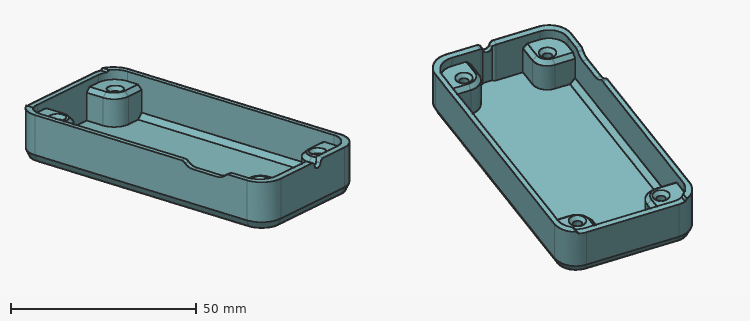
import cadquery as cq
import math

LENGTH = 86.0
WIDTH = 40.8
HEIGHT = 13.85
CORNER_RADIUS = 6.5
BASE_CHAMFER_INSET = 1.0
BASE_CHAMFER_HEIGHT = 2.15

SIDE_WALL = 1.55
LEFT_WALL = 1.8
RIGHT_WALL = 2.1
FLOOR = 1.55
CAVITY_RADIUS = 5.6
FLOOR_CHAMFER = 1.55

CAVITY_LEFT = -LENGTH / 2 + LEFT_WALL
CAVITY_RIGHT = LENGTH / 2 - RIGHT_WALL
CAVITY_HALF_WIDTH = WIDTH / 2 - SIDE_WALL

POST_DROP = 2.8
POST_TOP = HEIGHT - POST_DROP
POST_CHAMFER = 1.3
POSTS = [
    (-1, 1, 30.7, 8.2, 4.9),
    (-1, -1, 30.2, 8.2, 5.0),
    (1, 1, 30.7, 7.6, 5.0),
    (1, -1, 30.7, 8.2, 4.5),
]

HOLE_DIAMETER = 2.6
COUNTERSINK_DIAMETER = 4.7
COUNTERSINK_SLOPE = 45
COUNTERSINK_DEPTH = (COUNTERSINK_DIAMETER - HOLE_DIAMETER) / 2
HOLE_SPACING_X = 69.7
HOLE_SPACING_Y = 25.1

RIM_DROP = 0.6
RIM_DROP_HALF_WIDTH = 16.0
RIM_DROP_REACH = LEFT_WALL + CAVITY_RADIUS

CABLE_Y = 2.2
CABLE_RADIUS = 1.3
CABLE_DEPTH = 2.15
GROOVE_DEPTH = 0.5
GROOVE_HALF_WIDTH = 1.5
GROOVE_LIP_RADIUS = 0.9

SCOOP_X = 22.2
SCOOP_DEPTH = 1.6
SCOOP_FLAT_HALF = 4.0
SCOOP_INNER_RADIUS = 4.3
SCOOP_RIM_RADIUS = 2.0


def make_body():
    """Rounded block whose bottom edge tapers inward."""
    return (
        cq.Workplane("XY")
        .box(LENGTH, WIDTH, HEIGHT, centered=(True, True, False))
        .edges("|Z")
        .fillet(CORNER_RADIUS)
        .faces("<Z")
        .chamfer(BASE_CHAMFER_HEIGHT, BASE_CHAMFER_INSET)
    )


def make_cavity():
    """Open pocket with sloped strips where the long walls meet the floor."""
    pocket_length = CAVITY_RIGHT - CAVITY_LEFT
    pocket = (
        cq.Workplane("XY", origin=((CAVITY_LEFT + CAVITY_RIGHT) / 2, 0, FLOOR))
        .box(pocket_length, 2 * CAVITY_HALF_WIDTH, HEIGHT - FLOOR, centered=(True, True, False))
        .edges("|Z")
        .fillet(CAVITY_RADIUS)
    )
    for side in (-1, 1):
        wall_y = side * CAVITY_HALF_WIDTH
        strip = (
            cq.Workplane("YZ", origin=(CAVITY_LEFT, 0, 0))
            .moveTo(wall_y, FLOOR)
            .lineTo(wall_y - side * FLOOR_CHAMFER, FLOOR)
            .lineTo(wall_y, FLOOR + FLOOR_CHAMFER)
            .close()
            .extrude(pocket_length)
        )
        pocket = pocket.cut(strip)
    return pocket


def make_post(side_x, side_y, face_x, face_y, edge_radius):
    """Corner post reaching out to the body's sides, with a rounded inner edge and a chamfered top."""
    size_x = LENGTH / 2 - face_x
    size_y = WIDTH / 2 - face_y
    center = (side_x * (face_x + size_x / 2), side_y * (face_y + size_y / 2), 0)
    inner_x = ">X" if side_x < 0 else "<X"
    inner_y = ">Y" if side_y < 0 else "<Y"
    return (
        cq.Workplane("XY", origin=center)
        .box(size_x, size_y, POST_TOP, centered=(True, True, False))
        .edges("|Z")
        .edges(inner_x)
        .edges(inner_y)
        .fillet(edge_radius)
        .faces(">Z")
        .chamfer(POST_CHAMFER)
    )


def make_rim_drop():
    """Cutter that lowers the rim of the -X end, with 45 degree ends."""
    top_half = RIM_DROP_HALF_WIDTH + RIM_DROP
    return (
        cq.Workplane("YZ", origin=(-LENGTH / 2, 0, 0))
        .moveTo(-RIM_DROP_HALF_WIDTH, HEIGHT - RIM_DROP)
        .lineTo(RIM_DROP_HALF_WIDTH, HEIGHT - RIM_DROP)
        .lineTo(top_half, HEIGHT)
        .lineTo(-top_half, HEIGHT)
        .close()
        .extrude(RIM_DROP_REACH)
    )


def notch_profile(plane, flat_half, inner_radius, rim_radius, depth):
    """Notch in the rim: each end is a concave arc running smoothly into a convex one."""
    turn = math.acos(1 - depth / (inner_radius + rim_radius))

    def on_inner(angle):
        return flat_half + inner_radius * math.sin(angle), inner_radius * (1 - math.cos(angle)) - depth

    def on_rim(angle):
        reach = flat_half + (inner_radius + rim_radius) * math.sin(turn)
        return reach - rim_radius * math.sin(angle), rim_radius * (math.cos(angle) - 1)

    def mirrored(point):
        return -point[0], point[1]

    rim_end, rim_middle = on_rim(0), on_rim(turn / 2)
    bend, inner_middle, bottom = on_inner(turn), on_inner(turn / 2), on_inner(0)
    outline = (
        plane.moveTo(*rim_end)
        .threePointArc(rim_middle, bend)
        .threePointArc(inner_middle, bottom)
    )
    if flat_half > 0:
        outline = outline.lineTo(*mirrored(bottom))
    return (
        outline.threePointArc(mirrored(inner_middle), mirrored(bend))
        .threePointArc(mirrored(rim_middle), mirrored(rim_end))
        .close()
    )


def make_cable_notch():
    """Round-bottomed notch through the +X wall with rounded-over lips."""
    plane = cq.Workplane("YZ", origin=(CAVITY_RIGHT, CABLE_Y, HEIGHT))
    return notch_profile(plane, 0, CABLE_RADIUS, CABLE_RADIUS, CABLE_DEPTH).extrude(RIGHT_WALL)


def make_cable_groove():
    """Upright groove in the inner face of the +X wall, with rounded-over lips."""

    def lip(angle):
        return (
            GROOVE_LIP_RADIUS * (1 - math.cos(angle)),
            mouth_half - GROOVE_LIP_RADIUS * math.sin(angle),
        )

    turn = math.acos(1 - GROOVE_DEPTH / GROOVE_LIP_RADIUS)
    mouth_half = GROOVE_HALF_WIDTH + GROOVE_LIP_RADIUS * math.sin(turn)
    middle_x, middle_y = lip(turn / 2)
    return (
        cq.Workplane("XY", origin=(CAVITY_RIGHT, CABLE_Y, FLOOR))
        .moveTo(0, -mouth_half)
        .threePointArc((middle_x, -middle_y), (GROOVE_DEPTH, -GROOVE_HALF_WIDTH))
        .lineTo(GROOVE_DEPTH, GROOVE_HALF_WIDTH)
        .threePointArc((middle_x, middle_y), (0, mouth_half))
        .close()
        .extrude(HEIGHT - FLOOR)
    )


def make_scoop():
    """Shallow finger scoop through the -Y wall."""
    plane = cq.Workplane("XZ", origin=(SCOOP_X, -CAVITY_HALF_WIDTH, HEIGHT))
    outline = notch_profile(plane, SCOOP_FLAT_HALF, SCOOP_INNER_RADIUS, SCOOP_RIM_RADIUS, SCOOP_DEPTH)
    return outline.extrude(SIDE_WALL)


def make_screw_holes():
    """Through holes down the posts, each with a countersink at the post top."""
    post_tops = cq.Workplane("XY", origin=(0, 0, POST_TOP))
    centers = post_tops.rarray(HOLE_SPACING_X, HOLE_SPACING_Y, 2, 2)
    holes = centers.circle(HOLE_DIAMETER / 2).extrude(-POST_TOP)
    sinks = centers.circle(COUNTERSINK_DIAMETER / 2).extrude(-COUNTERSINK_DEPTH, taper=COUNTERSINK_SLOPE)
    return holes.union(sinks)


cavity = make_cavity()
for post in POSTS:
    cavity = cavity.cut(make_post(*post))

result = make_body().cut(cavity)
for cutter in (make_rim_drop(), make_cable_notch(), make_cable_groove(), make_scoop()):
    result = result.cut(cutter)

result = result.cut(make_screw_holes())